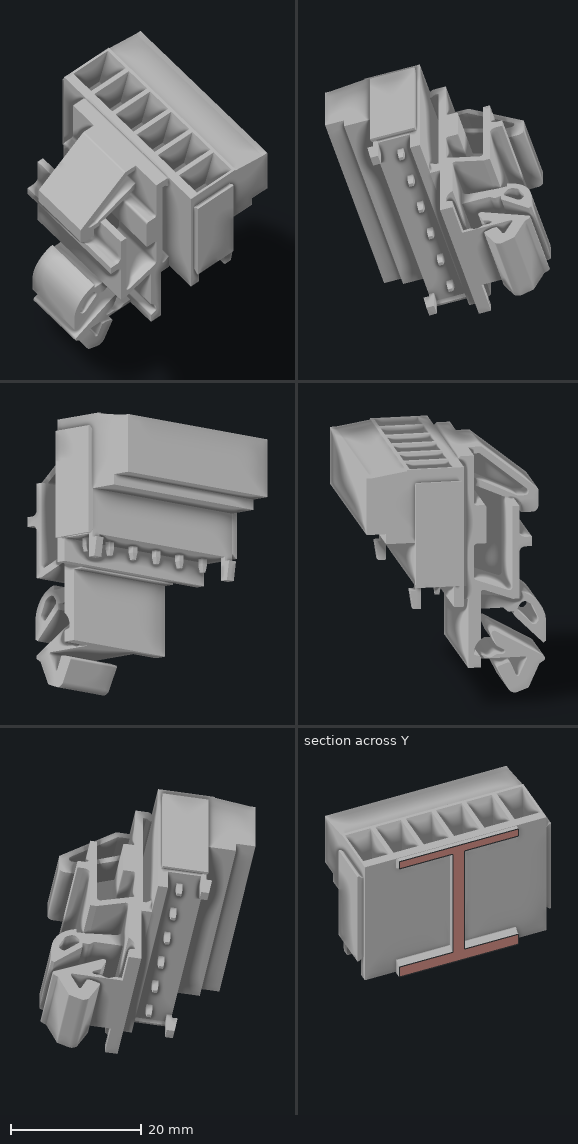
import cadquery as cq
import math


POLES = 6
PITCH = 5.08
HOUSING_WIDTH = POLES * PITCH
HOUSING_DEPTH = 15.2
HOUSING_TOP = 33.45
SLOPE_TOP = 33.25
SLOPE_START_Y = 8.9
SLOPE_END_Y = 14.3
BACK_TOP = 32.4
BACK_BOTTOM = 23.4
STEP_Y = 12.15
STEP_BOTTOM = 21.8
BODY_BACK_Y = 7.55
BODY_BOTTOM = 14.85
SKIRT_THICKNESS = 1.55
SKIRT_BOTTOM = 11.25

ENTRY_DEPTH = 5.0
ENTRY_TOP_SIZE = (4.3, 6.9)
ENTRY_TOP_Y = 4.95
ENTRY_FLOOR_SIZE = (2.7, 3.8)
ENTRY_FLOOR_Y = 4.13

RIB_HEIGHT = 1.0
RIB_EDGE = 0.3
RIB_FLARE = 0.55
RIB_Y = (0.55, 7.68)
RIB_TOP = 31.5

LATCH_WIDTH = 1.5
LATCH_FRONT_Y = 6.72
LATCH_HOOK_Y = 8.42
LATCH_TIP_Y = 7.95
LATCH_HOOK_Z = 14.25

PIN_SIZE = 0.93
PIN_Y = 3.75
PIN_TIP = 12.75
PIN_TAPER_START = 13.8
PIN_TIP_SIZE = (0.5, 0.7)
PIN_EMBED = 3.0

MOUNT_WIDTH = 20.0
CLIP_WIDTH = 10.08
WEB_WIDTH = 2.0
MOUNT_TOP = 33.75
PLATE_CHAMFER = 0.42
PLATE_FRONT_Y = -2.55
PLATE_STEP_Z = 11.0
FOOT_BACK_Y = -1.65
FOOT_FRONT_Y = -3.62
PANEL_BACK_Y = -8.55
PANEL_FRONT_Y = -9.62
PANEL_TOP = 25.4
PANEL_BOTTOM = 10.65
PAD_Y = -4.5
PAD_TOP = 25.8
PAD_BOTTOM = 19.7
PAD_ROUND = 0.45
PAD_EDGE_ROUND = 0.2
SHELF_BACK_Z = 14.05
SHELF_FRONT_Z = 11.85
SHELF_BACK_FILLET = 0.6
SHELF_FRONT_FILLET = 0.47
SHELF_FRONT_Y = -8.6
SHELF_UNDERSIDE_Z = 12.5
GROOVE_TOP = 4.47
GROOVE_RADIUS = 2.58
GROOVE_LIP = 0.3
LUG_Y = -11.6
LUG_TOP = 20.4
LUG_BOTTOM = 18.9
LUG_FILLET = 0.95

SLOT_DEPTH = 1.35
SLOT_FLARE_DEPTH = 0.85
SLOT_FLARE = 0.55
SLOT_LIP = 0.25
SLOT_TOP = 32.25
SLOT_BOTTOM = 13.05

SHOULDER_Y = -4.65
SHOULDER_ROUND = 0.5
NOSE_Y = -13.52
NOSE_BACK_Y = -10.82
NOSE_TOP = 26.55
NOSE_BOTTOM = 22.97
NOSE_ROUND = 0.9
CLIP_UNDERSIDE = 24.62
OPENING_TOP = 32.7
OPENING_NOSE_Z = 26.2
OPENING_BOTTOM = 25.65
WEB_BOTTOM = 25.0

ARM_TOP = 9.62
ARM_BOTTOM = 7.95
WEDGE_STEP_Y = -10.8
WEDGE_NOTCH_Y = -9.9
WEDGE_FRONT_Y = -14.75
WEDGE_RADIUS = 5.3
ROOT_THICKNESS = 0.6
HOOK_TOP = -0.85


def rounded_outline(corners):
    """Closed YZ outline; each corner is (y, z) or (y, z, fillet radius)."""
    count = len(corners)
    outline = None
    for i in range(count):
        corner = cq.Vector(*corners[i][:2])
        radius = corners[i][2] if len(corners[i]) > 2 else 0
        to_previous = (cq.Vector(*corners[i - 1][:2]) - corner).normalized()
        to_next = (cq.Vector(*corners[(i + 1) % count][:2]) - corner).normalized()
        half_angle = to_previous.getAngle(to_next) / 2
        setback = radius / math.tan(half_angle)
        start = corner + to_previous * setback
        if outline is None:
            outline = cq.Workplane("YZ").moveTo(start.x, start.y)
        else:
            outline = outline.lineTo(start.x, start.y)
        if radius:
            bisector = (to_previous + to_next).normalized()
            middle = corner + bisector * (radius / math.sin(half_angle) - radius)
            end = corner + to_next * setback
            outline = outline.threePointArc((middle.x, middle.y), (end.x, end.y))
    return outline.close()


def centred_bar(corners, width):
    """Bar along X with the given YZ outline, centred on X = 0."""
    return rounded_outline(corners).extrude(width / 2, both=True)


def pole_positions():
    return [(i - (POLES - 1) / 2) * PITCH for i in range(POLES)]



def housing_shell():
    return centred_bar([
        (0, SKIRT_BOTTOM),
        (0, HOUSING_TOP),
        (SLOPE_START_Y, HOUSING_TOP),
        (SLOPE_START_Y, SLOPE_TOP),
        (SLOPE_END_Y, BACK_TOP),
        (HOUSING_DEPTH, BACK_TOP),
        (HOUSING_DEPTH, BACK_BOTTOM),
        (STEP_Y, BACK_BOTTOM),
        (STEP_Y, STEP_BOTTOM),
        (BODY_BACK_Y, STEP_BOTTOM),
        (BODY_BACK_Y, BODY_BOTTOM),
        (SKIRT_THICKNESS, BODY_BOTTOM),
        (SKIRT_THICKNESS, SKIRT_BOTTOM),
    ], HOUSING_WIDTH)


def wire_entry(x):
    return (
        cq.Workplane("XY", origin=(x, ENTRY_TOP_Y, HOUSING_TOP))
        .rect(*ENTRY_TOP_SIZE)
        .workplane(offset=-ENTRY_DEPTH)
        .center(0, ENTRY_FLOOR_Y - ENTRY_TOP_Y)
        .rect(*ENTRY_FLOOR_SIZE)
        .loft(ruled=True)
    )


def end_rib(side):
    root = side * HOUSING_WIDTH / 2
    outer = root + side * RIB_HEIGHT
    edge = outer - side * RIB_EDGE
    neck = edge - side * RIB_FLARE
    rib_bottom = BODY_BOTTOM
    return (
        cq.Workplane("XZ", origin=(0, RIB_Y[1], 0))
        .polyline([
            (root, RIB_TOP - RIB_FLARE),
            (neck, RIB_TOP - RIB_FLARE),
            (edge, RIB_TOP),
            (outer, RIB_TOP),
            (outer, rib_bottom),
            (edge, rib_bottom),
            (neck, rib_bottom + RIB_FLARE),
            (root, rib_bottom + RIB_FLARE),
        ])
        .close()
        .extrude(RIB_Y[1] - RIB_Y[0])
    )


def latch(side):
    x = side * (HOUSING_WIDTH - LATCH_WIDTH) / 2
    return centred_bar([
        (LATCH_FRONT_Y, BODY_BOTTOM),
        (BODY_BACK_Y, BODY_BOTTOM),
        (BODY_BACK_Y, LATCH_HOOK_Z),
        (LATCH_HOOK_Y, LATCH_HOOK_Z),
        (LATCH_TIP_Y, SKIRT_BOTTOM),
        (LATCH_FRONT_Y, SKIRT_BOTTOM),
    ], LATCH_WIDTH).translate((x, 0, 0))


def mount_plate():
    """Plate, pad, shelf and front panel with its lug, over the full mount width."""
    return centred_bar([
        (0, PLATE_STEP_Z),
        (0, MOUNT_TOP - PLATE_CHAMFER),
        (-PLATE_CHAMFER, MOUNT_TOP),
        (PLATE_FRONT_Y, MOUNT_TOP),
        (PLATE_FRONT_Y, PAD_TOP, PAD_ROUND),
        (PAD_Y, PAD_TOP, PAD_ROUND),
        (PAD_Y, PAD_BOTTOM, PAD_EDGE_ROUND),
        (PLATE_FRONT_Y, PAD_BOTTOM, PAD_ROUND),
        (PLATE_FRONT_Y, SHELF_BACK_Z, SHELF_BACK_FILLET),
        (PANEL_BACK_Y, SHELF_FRONT_Z, SHELF_FRONT_FILLET),
        (PANEL_BACK_Y, PANEL_TOP),
        (PANEL_FRONT_Y, PANEL_TOP),
        (PANEL_FRONT_Y, LUG_TOP, LUG_FILLET),
        (LUG_Y, LUG_TOP),
        (LUG_Y, LUG_BOTTOM),
        (PANEL_FRONT_Y, LUG_BOTTOM, LUG_FILLET),
        (PANEL_FRONT_Y, PANEL_BOTTOM),
        (SHELF_FRONT_Y, PANEL_BOTTOM),
        (FOOT_FRONT_Y, SHELF_UNDERSIDE_Z, 0.4),
        (FOOT_FRONT_Y, GROOVE_TOP),
        (PLATE_FRONT_Y, 3.69, GROOVE_RADIUS),
        (PLATE_FRONT_Y, 2.05, GROOVE_LIP),
        (FOOT_FRONT_Y, 1.75, GROOVE_LIP),
        (FOOT_FRONT_Y, 0),
        (FOOT_BACK_Y, 0),
        (FOOT_BACK_Y, PLATE_STEP_Z),
    ], MOUNT_WIDTH)


def plate_slot(side):
    """Dovetail slot reaching in from one end of the plate to the central web."""
    length = (MOUNT_WIDTH - WEB_WIDTH) / 2
    return centred_bar([
        (0, SLOT_TOP - SLOT_FLARE),
        (-SLOT_LIP, SLOT_TOP - SLOT_FLARE, SLOT_LIP),
        (-SLOT_FLARE_DEPTH, SLOT_TOP),
        (-SLOT_DEPTH, SLOT_TOP),
        (-SLOT_DEPTH, SLOT_BOTTOM),
        (-SLOT_FLARE_DEPTH, SLOT_BOTTOM),
        (-SLOT_LIP, SLOT_BOTTOM + SLOT_FLARE, SLOT_LIP),
        (0, SLOT_BOTTOM + SLOT_FLARE),
    ], length).translate((side * (WEB_WIDTH + length) / 2, 0, 0))


def upper_clip():
    """Hook over the panel: a sloping outer arm and a lower arm joined at the nose."""
    arms = centred_bar([
        (PLATE_FRONT_Y, MOUNT_TOP),
        (SHOULDER_Y, MOUNT_TOP, SHOULDER_ROUND),
        (NOSE_Y, NOSE_TOP),
        (NOSE_Y, NOSE_BOTTOM, NOSE_ROUND),
        (NOSE_BACK_Y, NOSE_BOTTOM),
        (NOSE_BACK_Y, CLIP_UNDERSIDE),
        (PANEL_BACK_Y, CLIP_UNDERSIDE),
        (PANEL_BACK_Y, 25.45),
        (PLATE_FRONT_Y, 28.1),
    ], CLIP_WIDTH)
    opening = centred_bar([
        (PLATE_FRONT_Y, OPENING_TOP),
        (-4.35, OPENING_TOP),
        (-12.35, OPENING_NOSE_Z, 0.55),
        (-11.65, OPENING_BOTTOM, 0.55),
        (-10.3, OPENING_BOTTOM, 0.3),
        (PLATE_FRONT_Y, 29.3, 0.3),
    ], CLIP_WIDTH)
    return arms.cut(opening)


def central_web():
    """Web on the symmetry plane filling the space between plate, clip and panel."""
    return centred_bar([
        (PLATE_FRONT_Y, MOUNT_TOP),
        (SHOULDER_Y, MOUNT_TOP, SHOULDER_ROUND),
        (-12.6, OPENING_NOSE_Z),
        (-12.6, WEB_BOTTOM),
        (PANEL_BACK_Y, WEB_BOTTOM),
        (PANEL_BACK_Y, SHELF_FRONT_Z),
        (PLATE_FRONT_Y, SHELF_BACK_Z),
    ], WEB_WIDTH)


def upper_foot_arm():
    """Arm under the panel ending in a rounded wedge with a slot."""
    arm = centred_bar([
        (FOOT_FRONT_Y, ARM_BOTTOM),
        (FOOT_FRONT_Y, PLATE_STEP_Z),
        (-4.35, 10.25, 1.1),
        (-9.7, ARM_TOP),
        (WEDGE_STEP_Y, ARM_TOP),
        (WEDGE_STEP_Y, 10.35),
        (WEDGE_FRONT_Y, 9.29, WEDGE_RADIUS),
        (WEDGE_FRONT_Y, 2.37),
        (-14.3, 2.07),
        (WEDGE_NOTCH_Y, 6.45),
        (WEDGE_NOTCH_Y, 7.4),
        (-8.85, 7.2, 0.5),
        (-8.05, ARM_BOTTOM),
    ], CLIP_WIDTH)
    slot = centred_bar([
        (-11.2, 9.05, 0.8),
        (-12.6, 8.2, 1.0),
        (-13.7, 5.7, 0.6),
        (-12.85, 4.85, 0.5),
        (-10.1, 7.65, 0.6),
    ], CLIP_WIDTH)
    return arm.cut(slot)


def lower_foot_arm():
    """Springy latch arm: straight root, sloping ramp and a hooked release tail."""
    return centred_bar([
        (FOOT_FRONT_Y, 0),
        (-11.9, 0, 0.3),
        (-10.3, -3.4, 0.25),
        (-9.2, HOOK_TOP),
        (-8.6, HOOK_TOP),
        (-7.05, -1.4, 0.3),
        (-9.0, -5.35, 1.0),
        (-9.85, -5.72, 0.8),
        (-12.0, -4.95, 0.3),
        (-13.7, -1.2, 0.3),
        (-15.0, -0.39, 0.45),
        (-5.8, 4.87, 0.4),
        (-7.0, 1.95),
        (-8.65, 1.0, 0.3),
        (-8.0, ROOT_THICKNESS),
        (-7.0, ROOT_THICKNESS),
        (-5.95, 0, 1.0),
        (-4.9, ROOT_THICKNESS),
        (FOOT_FRONT_Y, ROOT_THICKNESS),
    ], CLIP_WIDTH)


def contact_pin(x):
    shank = (
        cq.Workplane("XY", origin=(x, PIN_Y, PIN_TAPER_START))
        .rect(PIN_SIZE, PIN_SIZE)
        .extrude(BODY_BOTTOM + PIN_EMBED - PIN_TAPER_START)
    )
    tip = (
        cq.Workplane("XY", origin=(x, PIN_Y, PIN_TAPER_START))
        .rect(PIN_SIZE, PIN_SIZE)
        .workplane(offset=PIN_TIP - PIN_TAPER_START)
        .rect(*PIN_TIP_SIZE)
        .loft(ruled=True)
    )
    return shank.union(tip)


pins = [contact_pin(x) for x in pole_positions()]

base = housing_shell()
for x in pole_positions():
    base = base.cut(wire_entry(x))
plate = mount_plate()
for side in (-1, 1):
    base = base.union(end_rib(side)).union(latch(side))
    plate = plate.cut(plate_slot(side))
base = base.union(plate)
for feature in (upper_clip(), central_web(), upper_foot_arm(), lower_foot_arm()):
    base = base.union(feature)
for pin in pins:
    base = base.cut(pin)

result = cq.Compound.makeCompound([base.val(), *[pin.val() for pin in pins]])